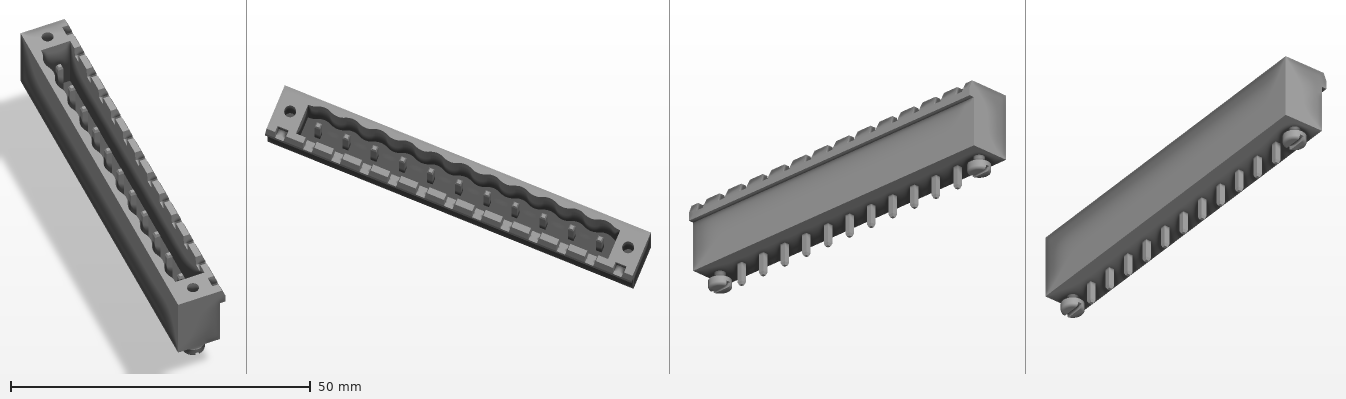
import cadquery as cq
import math

PIN_COUNT = 11
PITCH = 5.08
PIN_WIDTH = 1.0
PIN_TIP_WIDTH = 0.6
PIN_TIP_HEIGHT = 0.5
PIN_BELOW_BODY = 4.0
PIN_TOP_Z = 10.0

LENGTH = (PIN_COUNT + 2) * PITCH
BODY_DEPTH = 7.6
HEIGHT = 12.0
LEDGE_OVERHANG = 1.0
LEDGE_HEIGHT = 3.0
LEDGE_SLOPE_RUN = 0.6
LEDGE_SLOPE_DROP = 1.5
BACK_Y = BODY_DEPTH + LEDGE_OVERHANG
CENTRE_Y = 3.8

POCKET_LENGTH = 56.3
POCKET_BACK_Y = 6.9
POCKET_FRONT_Y = 1.6
POCKET_FLOOR_Z = 2.0
SCALLOP_DEPTH = 0.6

NOTCH_TOP_WIDTH = 2.0
NOTCH_FLOOR_WIDTH = 1.5
NOTCH_DEPTH = 1.7

SCREW_X = (LENGTH - PITCH) / 2
SCREW_STEM_DIAMETER = 2.0
SCREW_HEAD_DIAMETER = 4.0
SCREW_HEAD_TOP_Z = -1.4
SCREW_HEAD_HEIGHT = 1.6
SCREW_HEAD_FILLET = 0.5
SCREW_SLOT_WIDTH = 0.8
SCREW_SLOT_DEPTH = 0.8
SCREW_HOLE_DIAMETER = 2.0
SCREW_HOLE_DEPTH = 6.0

PIN_XS = [(i - (PIN_COUNT - 1) / 2) * PITCH for i in range(PIN_COUNT)]
SCREW_XS = [-SCREW_X, SCREW_X]


def make_housing():
    """Solid block with a sloped latching ledge along the top of its rear face."""
    return (
        cq.Workplane("YZ")
        .moveTo(0, 0)
        .lineTo(BODY_DEPTH, 0)
        .lineTo(BODY_DEPTH, HEIGHT - LEDGE_HEIGHT)
        .lineTo(BACK_Y, HEIGHT - LEDGE_HEIGHT)
        .lineTo(BACK_Y, HEIGHT - LEDGE_SLOPE_DROP)
        .lineTo(BACK_Y - LEDGE_SLOPE_RUN, HEIGHT)
        .lineTo(0, HEIGHT)
        .close()
        .extrude(LENGTH / 2, both=True)
    )


def make_pocket():
    """Pocket whose front wall waves: one hollow at every contact, a crest between contacts."""
    half_length = POCKET_LENGTH / 2
    quarter = PITCH / 4
    half_wave = SCALLOP_DEPTH / 2
    radius = (quarter**2 + half_wave**2) / (2 * half_wave)
    mid_y = POCKET_FRONT_Y - half_wave
    crest_offset = PITCH / 2
    crest_angle = math.asin(quarter / radius) / 2
    crest_mid_x = radius * math.sin(crest_angle)
    crest_mid_y = POCKET_FRONT_Y - radius * (1 - math.cos(crest_angle))
    first_crest = PIN_XS[0] - crest_offset
    last_crest = PIN_XS[-1] + crest_offset

    outline = (
        cq.Workplane("XY", origin=(0, 0, POCKET_FLOOR_Z))
        .moveTo(-half_length, POCKET_BACK_Y)
        .lineTo(-half_length, POCKET_FRONT_Y)
        .lineTo(first_crest, POCKET_FRONT_Y)
        .threePointArc((first_crest + crest_mid_x, crest_mid_y), (first_crest + quarter, mid_y))
    )
    for x in PIN_XS:
        outline = outline.threePointArc((x, POCKET_FRONT_Y - SCALLOP_DEPTH), (x + quarter, mid_y))
        if x != PIN_XS[-1]:
            crest_x = x + crest_offset
            outline = outline.threePointArc((crest_x, POCKET_FRONT_Y), (crest_x + quarter, mid_y))
    return (
        outline.threePointArc((last_crest - crest_mid_x, crest_mid_y), (last_crest, POCKET_FRONT_Y))
        .lineTo(half_length, POCKET_FRONT_Y)
        .lineTo(half_length, POCKET_BACK_Y)
        .close()
        .extrude(HEIGHT - POCKET_FLOOR_Z)
    )


def make_notch(x):
    """Tapered notch cut from the pocket's rear face out through the ledge."""
    return (
        cq.Workplane("XZ", origin=(x, POCKET_BACK_Y, HEIGHT))
        .moveTo(-NOTCH_TOP_WIDTH / 2, 0)
        .lineTo(NOTCH_TOP_WIDTH / 2, 0)
        .lineTo(NOTCH_FLOOR_WIDTH / 2, -NOTCH_DEPTH)
        .lineTo(-NOTCH_FLOOR_WIDTH / 2, -NOTCH_DEPTH)
        .close()
        .extrude(POCKET_BACK_Y - BACK_Y)
    )


def make_pin(x):
    """Square contact pin, tapered at both ends."""
    shaft_bottom = PIN_TIP_HEIGHT - PIN_BELOW_BODY
    shaft_top = PIN_TOP_Z - PIN_TIP_HEIGHT
    pin = (
        cq.Workplane("XY", origin=(x, CENTRE_Y, shaft_bottom))
        .rect(PIN_WIDTH, PIN_WIDTH)
        .extrude(shaft_top - shaft_bottom)
    )
    for face in (">Z", "<Z"):
        pin = (
            pin.faces(face)
            .workplane()
            .rect(PIN_WIDTH, PIN_WIDTH)
            .workplane(offset=PIN_TIP_HEIGHT)
            .rect(PIN_TIP_WIDTH, PIN_TIP_WIDTH)
            .loft()
        )
    return pin


def make_screw(x):
    """Stem and rounded, slotted head that hang below an end block."""
    head_bottom_z = SCREW_HEAD_TOP_Z - SCREW_HEAD_HEIGHT
    head = (
        cq.Workplane("XY", origin=(x, CENTRE_Y, head_bottom_z))
        .circle(SCREW_HEAD_DIAMETER / 2)
        .extrude(SCREW_HEAD_HEIGHT)
        .faces("<Z")
        .edges()
        .fillet(SCREW_HEAD_FILLET)
    )
    slot = (
        cq.Workplane("XY", origin=(x, CENTRE_Y, head_bottom_z))
        .rect(SCREW_HEAD_DIAMETER, SCREW_SLOT_WIDTH)
        .extrude(SCREW_SLOT_DEPTH)
    )
    stem = (
        cq.Workplane("XY", origin=(x, CENTRE_Y, SCREW_HEAD_TOP_Z))
        .circle(SCREW_STEM_DIAMETER / 2)
        .extrude(-SCREW_HEAD_TOP_Z)
    )
    return head.cut(slot).union(stem)


def make_screw_hole(x):
    """Blind hole in the top of an end block."""
    return (
        cq.Workplane("XY", origin=(x, CENTRE_Y, HEIGHT))
        .circle(SCREW_HOLE_DIAMETER / 2)
        .extrude(-SCREW_HOLE_DEPTH)
    )


result = make_housing().cut(make_pocket())
for notch_x in PIN_XS + SCREW_XS:
    result = result.cut(make_notch(notch_x))
for screw_x in SCREW_XS:
    result = result.cut(make_screw_hole(screw_x)).union(make_screw(screw_x))
for pin_x in PIN_XS:
    result = result.union(make_pin(pin_x))